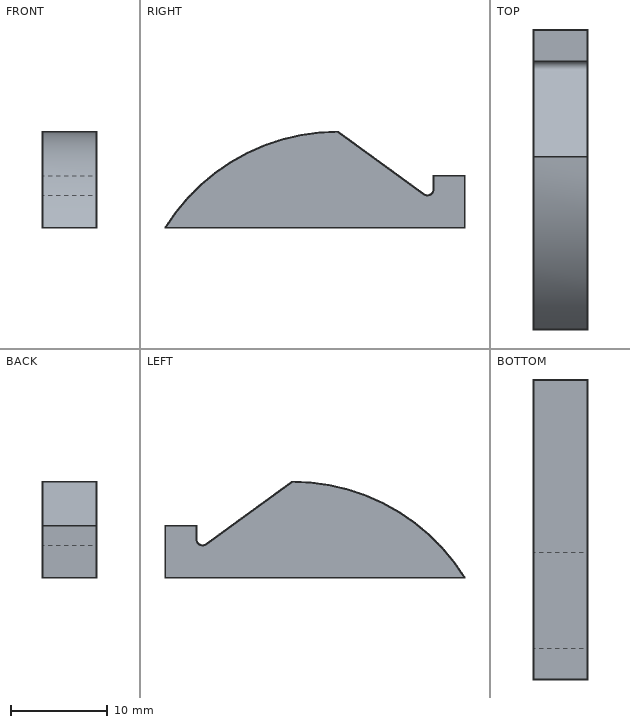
import cadquery as cq
import math

length = 31.13
width = 5.65
height = 10.0

heel_length = 3.27
heel_height = 5.42

crest_y = 17.93
ramp_angle = math.radians(36.0)

root_radius = 0.62

heel_y = length - heel_length

corner_z = height - (heel_y - crest_y) * math.tan(ramp_angle)

back_radius = (crest_y**2 + height**2) / (2 * height)
half_sweep = math.asin(crest_y / back_radius) / 2
back_mid = (
    crest_y - back_radius * math.sin(half_sweep),
    height - back_radius * (1 - math.cos(half_sweep)),
)

profile = (
    cq.Workplane("YZ")
    .moveTo(0, 0)
    .lineTo(length, 0)
    .lineTo(length, heel_height)
    .lineTo(heel_y, heel_height)
    .lineTo(heel_y, corner_z)
    .lineTo(crest_y, height)
    .threePointArc(back_mid, (0, 0))
    .close()
)
body = profile.extrude(width / 2, both=True)

root_edge = cq.selectors.NearestToPointSelector((0, heel_y, corner_z))
result = body.edges(root_edge).fillet(root_radius)